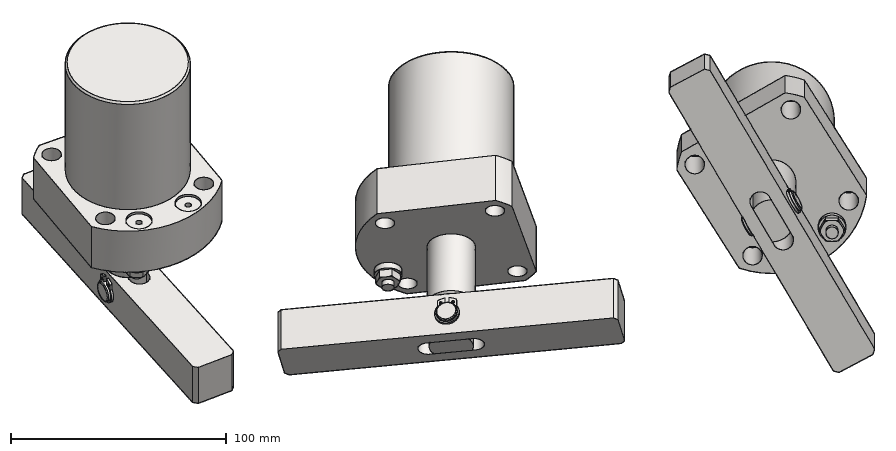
import cadquery as cq


arm_length = 160.0
arm_width = 22.0
arm_height = 22.0
arm_end_chamfer = 2.0
swing_angle = 1.8
slot_length = 31.1
slot_width = 9.6

rod_radius = 11.2
rod_chamfer = 1.0
rod_top_z = 55.0
shoulder_gap = 0.6
shoulder_z = arm_height + shoulder_gap
tongue_radius = rod_radius - rod_chamfer

pin_radius = 5.0
pin_length = 27.3
pin_chamfer = 0.5
pin_z = arm_height / 2

ring_thickness = 1.1
ring_radius = 5.8
lug_radius = 8.2
lug_half_width = 4.5
ring_gap = 2.0
lug_hole_x = 2.9
lug_hole_height = 5.6
lug_hole_radius = 0.6

flange_half_width = 34.5
flange_radius = 44.5
flange_height = 25.0
flange_top_z = rod_top_z + flange_height
barrel_radius = 29.0
barrel_height = 65.0
barrel_chamfer = 1.0
mount_offset = 26.0
mount_hole_radius = 4.5
port_x = 34.7
port_y = 13.0
port_recess_radius = 6.1
port_recess_depth = 1.3
port_hole_radius = 1.5
port_hole_depth = 6.4

fitting_x = 32.5
collar_radius = 6.4
collar_height = 3.0
hex_across_corners = 11.7
hex_height = 4.0
hex_chamfer = 0.5
stud_radius = 2.9
stud_height = 2.7


def swung(body):
    """Turn a body built along X to the swing position of the arm."""
    return body.rotate((0, 0, 0), (0, 0, 1), swing_angle)


def make_housing():
    flange = cq.Workplane("XY", origin=(0, 0, rod_top_z)).circle(flange_radius).extrude(flange_height)
    squaring_block = (
        cq.Workplane("XY", origin=(-flange_half_width, 0, rod_top_z))
        .box(
            flange_half_width + flange_radius,
            2 * flange_half_width,
            flange_height,
            centered=(False, True, False),
        )
    )
    barrel = (
        cq.Workplane("XY", origin=(0, 0, flange_top_z))
        .circle(barrel_radius)
        .extrude(barrel_height)
        .faces(">Z")
        .chamfer(barrel_chamfer)
    )
    mount_holes = (
        cq.Workplane("XY", origin=(0, 0, rod_top_z))
        .rect(2 * mount_offset, 2 * mount_offset, forConstruction=True)
        .vertices()
        .circle(mount_hole_radius)
        .extrude(flange_height)
    )
    port_centers = [(port_x, port_y), (port_x, -port_y)]
    port_top = cq.Workplane("XY", origin=(0, 0, flange_top_z)).pushPoints(port_centers)
    recesses = port_top.circle(port_recess_radius).extrude(-port_recess_depth)
    port_holes = port_top.circle(port_hole_radius).extrude(-port_hole_depth)
    body = flange.intersect(squaring_block).union(barrel)
    return body.cut(mount_holes).cut(recesses).cut(port_holes)


def make_pin_bore():
    return (
        cq.Workplane("XZ", origin=(0, arm_width / 2, pin_z))
        .circle(pin_radius)
        .extrude(arm_width)
    )


def make_piston_rod():
    shaft = (
        cq.Workplane("XY", origin=(0, 0, shoulder_z))
        .circle(rod_radius)
        .extrude(rod_top_z - shoulder_z)
        .faces("<Z")
        .chamfer(rod_chamfer)
    )
    tongue = cq.Workplane("XY").circle(tongue_radius).extrude(shoulder_z)
    flats = cq.Workplane("XY").rect(2 * tongue_radius, slot_width).extrude(shoulder_z)
    return swung(shaft.union(tongue.intersect(flats)).cut(make_pin_bore()))


def make_clamp_arm():
    bar = (
        cq.Workplane("XY")
        .rect(arm_length, arm_width)
        .extrude(arm_height)
        .edges("|Z")
        .chamfer(arm_end_chamfer)
    )
    slot = cq.Workplane("XY").slot2D(slot_length, slot_width).extrude(arm_height)
    return swung(bar.cut(slot).cut(make_pin_bore()))


def make_pivot_pin():
    pin = (
        cq.Workplane("XZ", origin=(0, pin_length / 2, pin_z))
        .circle(pin_radius)
        .extrude(pin_length)
        .faces("<Y or >Y")
        .chamfer(pin_chamfer)
    )
    return swung(pin)


def make_retaining_ring(side):
    """Open ring with two drilled lugs at the top; side is -1 or 1 for the -Y or +Y face of the arm."""
    middle_y = side * (arm_width + ring_thickness) / 2
    plane = cq.Workplane("XZ", origin=(0, middle_y, pin_z))
    band = plane.circle(ring_radius).extrude(ring_thickness / 2, both=True)
    lug_strip = (
        plane.center(0, lug_radius / 2)
        .rect(2 * lug_half_width, lug_radius)
        .extrude(ring_thickness / 2, both=True)
    )
    lugs = plane.circle(lug_radius).extrude(ring_thickness / 2, both=True).intersect(lug_strip)
    gap = plane.center(0, lug_radius / 2).rect(ring_gap, lug_radius).extrude(ring_thickness, both=True)
    bore = plane.circle(pin_radius).extrude(ring_thickness, both=True)
    lug_holes = (
        plane.pushPoints([(-lug_hole_x, lug_hole_height), (lug_hole_x, lug_hole_height)])
        .circle(lug_hole_radius)
        .extrude(ring_thickness, both=True)
    )
    return swung(band.union(lugs).cut(gap).cut(bore).cut(lug_holes))


def make_valve_fitting():
    hex_top_z = rod_top_z - collar_height
    stud_top_z = hex_top_z - hex_height
    collar_plane = cq.Workplane("XY", origin=(fitting_x, -port_y, rod_top_z))
    hex_plane = cq.Workplane("XY", origin=(fitting_x, -port_y, hex_top_z))
    stud_plane = cq.Workplane("XY", origin=(fitting_x, -port_y, stud_top_z))
    collar = collar_plane.circle(collar_radius).extrude(-collar_height)
    hexagon = hex_plane.polygon(6, hex_across_corners).extrude(-hex_height)
    corner_trim = (
        hex_plane.circle(hex_across_corners / 2)
        .extrude(-hex_height)
        .faces("<Z")
        .chamfer(hex_chamfer)
    )
    stud = stud_plane.circle(stud_radius).extrude(-stud_height)
    return collar.union(hexagon.intersect(corner_trim)).union(stud)


housing = make_housing()
piston_rod = make_piston_rod()
clamp_arm = make_clamp_arm()
pivot_pin = make_pivot_pin()
retaining_rings = [make_retaining_ring(side) for side in (-1, 1)]
valve_fitting = make_valve_fitting()

result = cq.Compound.makeCompound(
    [
        housing.val(),
        piston_rod.val(),
        clamp_arm.val(),
        pivot_pin.val(),
        *[ring.val() for ring in retaining_rings],
        valve_fitting.val(),
    ]
)